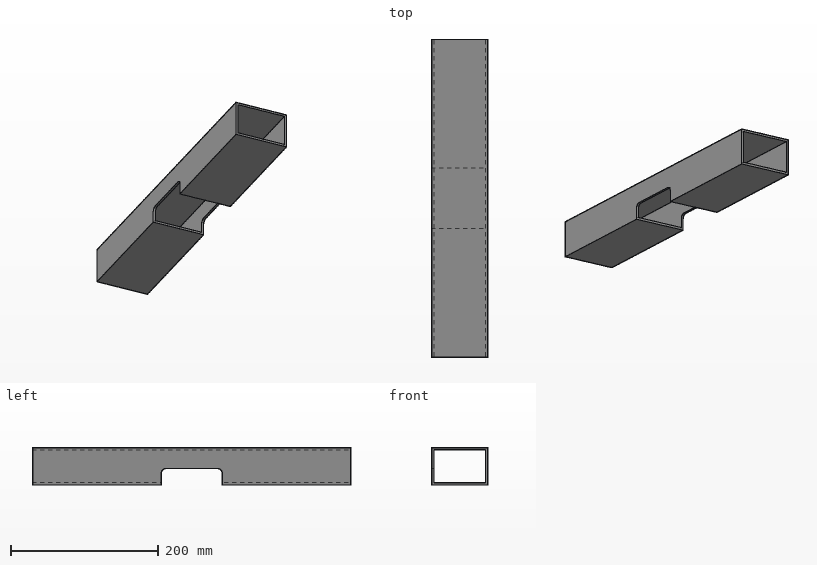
import cadquery as cq

tube_width = 76.2
tube_length = 431.8
tube_height = 50.8
wall = 3.175

notch_length = 82.55
notch_depth = 22.225
notch_corner_radius = 6.35


def make_tube():
    """Hollow tube, open at both ends."""
    outer = cq.Workplane("XY").box(tube_width, tube_length, tube_height)
    bore = cq.Workplane("XY").box(tube_width - 2 * wall, tube_length, tube_height - 2 * wall)
    return outer.cut(bore)


def make_notch():
    """Block that cuts the floor and both side walls, with rounded upper corners."""
    block = cq.Workplane("XY").box(tube_width, notch_length, notch_depth)
    rounded = block.edges("|X and >Z").fillet(notch_corner_radius)
    return rounded.translate((0, 0, (notch_depth - tube_height) / 2))


result = make_tube().cut(make_notch())